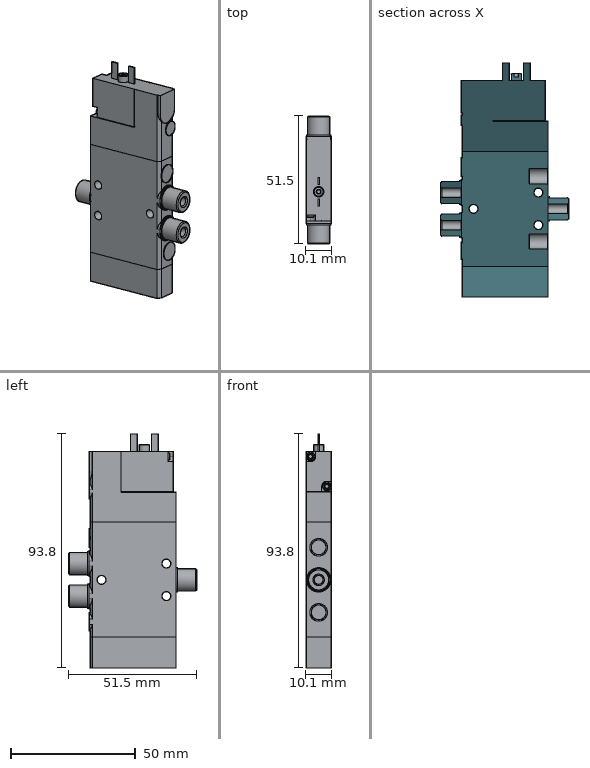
import cadquery as cq

WIDTH = 10.1
BACK_Y = 34.5
CAP_TOP = 12.4
BODY_TOP = 58.4
LEDGE_TOP = 70.5
STACK_TOP = 86.9
BACK_BEVEL_DEPTH = 0.9
BACK_BEVEL_WIDTH = 1.5

BOSS_Y = 34.9
BOSS_ROOT_Y = 31.9
PAD_RADIUS = 4.8
PAD_CENTER_Z = 78.6
PILOT_BOSS_RADIUS = 3.0
PILOT_BOSS_X = -2.2
PILOT_BOSS_Z = 70.8
PORT_BOSS_RADIUS = 5.2
OUTER_BOSS_RADIUS = 3.75
OUTER_BOSS_PITCH = 16.8
LOWER_BOSS_X = -1.5

MIDDLE_Z = 35.4
PORT_PITCH = 13.0
PORT_DIAMETER = 5.9
PORT_RIM_DIAMETER = 7.0
PORT_RIM_DEPTH = 0.3
PORT_DEPTH = 7.5
MOUNT_DIAMETER = 3.5
FRONT_MOUNT_Y = 3.9
BACK_MOUNT_Y = 29.9

COLLAR_DIAMETER = 9.8
COLLAR_HEIGHT = 0.6
FITTING_DIAMETER = 9.0
FITTING_LENGTH = 8.3
FITTING_CHAMFER = 0.5
BORE_DIAMETER = 3.6
BORE_RIM_DIAMETER = 4.6
BORE_RIM_DEPTH = (BORE_RIM_DIAMETER - BORE_DIAMETER) / 2

SOLENOID_FRONT_Y = 1.1
SOLENOID_BACK_Y = 22.0
SOLENOID_GAP = 0.2
SOLENOID_SIDE_STEP = 0.1
CONTACT_Y = 12.8
BLADE_PITCH = 8.4
BLADE_WIDTH = 2.8
BLADE_THICKNESS = 0.6
BLADE_TOP = 93.8
POST_DIAMETER = 4.1
POST_HEIGHT = 2.8
POST_CHAMFER = 0.3
POST_SOCKET_DEPTH = 1.4

POCKET_RADIUS = 2.1
POCKET_DEPTH = 2.25
SCREW_X = 3.3
SCREW_EDGE_DISTANCE = 2.1
HEAD_DIAMETER = 3.5
HEAD_HEIGHT = 0.8
HEAD_TOP_DIAMETER = 2.4
HEAD_SOCKET_DEPTH = 0.7

SOCKET_DIAMETER = 1.6
SOCKET_RIM_DIAMETER = 2.0
SOCKET_RIM_DEPTH = (SOCKET_RIM_DIAMETER - SOCKET_DIAMETER) / 2

SOLENOID_BOTTOM = LEDGE_TOP + SOLENOID_GAP
POCKET_FLOOR_Y = SOLENOID_FRONT_Y + POCKET_DEPTH
SCREW_PLACES = [
    (-SCREW_X, STACK_TOP - SCREW_EDGE_DISTANCE, -1, 1),
    (SCREW_X, SOLENOID_BOTTOM + SCREW_EDGE_DISTANCE, 1, -1),
]


def box(x_range, y_range, z_range):
    """Box between the given limits on each axis."""
    size = [high - low for low, high in (x_range, y_range, z_range)]
    corner = (x_range[0], y_range[0], z_range[0])
    return cq.Workplane("XY").box(*size, centered=False).translate(corner)


def rod(x, z, radius, y_start, y_end):
    """Cylinder along Y between two Y positions."""
    solid = cq.Solid.makeCylinder(radius, y_end - y_start, cq.Vector(x, y_start, z), cq.Vector(0, 1, 0))
    return cq.Workplane(obj=solid)


def cone(start, direction, start_radius, end_radius, length):
    """Cone frustum from a start point along a direction."""
    solid = cq.Solid.makeCone(start_radius, end_radius, length, cq.Vector(*start), cq.Vector(*direction))
    return cq.Workplane(obj=solid)


def countersunk_hole(top_z, depth, diameter, rim_diameter, rim_depth):
    """Hole tool along Z, sunk from a height, with a conical mouth."""
    hole = cq.Workplane("XY").circle(diameter / 2).extrude(-depth)
    mouth = cone((0, 0, 0), (0, 0, -1), rim_diameter / 2, diameter / 2, rim_depth)
    return hole.union(mouth).translate((0, 0, top_z))


def block(z_bottom, z_top):
    """Full-depth block of the stack, with both long back edges bevelled."""
    half = WIDTH / 2
    bevel_y = BACK_Y - BACK_BEVEL_DEPTH
    flat_half = half - BACK_BEVEL_WIDTH
    right_side = [(half, 0), (half, bevel_y), (flat_half, BACK_Y)]
    left_side = [(-x, y) for x, y in reversed(right_side)]
    outline = right_side + left_side
    return cq.Workplane("XY").workplane(offset=z_bottom).polyline(outline).close().extrude(z_top - z_bottom)


def back_boss(x, z, radius):
    """Round boss on the back face, cut flush with the sides of the stack."""
    sides = box((-WIDTH / 2, WIDTH / 2), (0, BOSS_Y), (0, STACK_TOP))
    return rod(x, z, radius, BOSS_ROOT_Y, BOSS_Y).intersect(sides)


def face_forward(upright):
    """Turn a shape that points along +Z so that it points along -Y."""
    return upright.rotate((0, 0, 0), (1, 0, 0), 90)


def make_end_cap():
    return block(0, CAP_TOP)


def make_valve_body():
    body = block(CAP_TOP, BODY_TOP)
    for z in (MIDDLE_Z - PORT_PITCH / 2, MIDDLE_Z + PORT_PITCH / 2):
        body = body.union(back_boss(0, z, PORT_BOSS_RADIUS))
    body = body.union(back_boss(0, MIDDLE_Z + OUTER_BOSS_PITCH, OUTER_BOSS_RADIUS))
    body = body.union(back_boss(LOWER_BOSS_X, MIDDLE_Z - OUTER_BOSS_PITCH, OUTER_BOSS_RADIUS))

    port = face_forward(countersunk_hole(0, PORT_DEPTH, PORT_DIAMETER, PORT_RIM_DIAMETER, PORT_RIM_DEPTH))
    for z in (MIDDLE_Z - PORT_PITCH, MIDDLE_Z + PORT_PITCH):
        body = body.cut(port.translate((0, 0, z)))

    mounts = [
        (FRONT_MOUNT_Y, MIDDLE_Z - PORT_PITCH / 2),
        (FRONT_MOUNT_Y, MIDDLE_Z + PORT_PITCH / 2),
        (BACK_MOUNT_Y, MIDDLE_Z),
    ]
    holes = cq.Workplane("YZ").pushPoints(mounts).circle(MOUNT_DIAMETER / 2).extrude(WIDTH / 2, both=True)
    return body.cut(holes)


def corner_pocket(x, z, x_side, z_side):
    """Round screw pocket, opened out to the nearest side and end of the solenoid."""
    depth = (SOLENOID_FRONT_Y, POCKET_FLOOR_Y)
    pocket = rod(x, z, POCKET_RADIUS, *depth)
    across = sorted((x - x_side * POCKET_RADIUS, x + x_side * POCKET_RADIUS))
    upright = sorted((z - z_side * POCKET_RADIUS, z + z_side * POCKET_RADIUS))
    beyond_side = sorted((x, x + x_side * WIDTH))
    beyond_end = (z, STACK_TOP) if z_side > 0 else (LEDGE_TOP, z)
    return pocket.union(box(across, depth, beyond_end)).union(box(beyond_side, depth, upright))


def contact_blade(y):
    """Flat contact blade standing on the solenoid."""
    x_range = (-BLADE_THICKNESS / 2, BLADE_THICKNESS / 2)
    return box(x_range, (y - BLADE_WIDTH / 2, y + BLADE_WIDTH / 2), (STACK_TOP, BLADE_TOP))


def make_pilot_body():
    body = block(BODY_TOP, STACK_TOP)

    half = WIDTH / 2
    body = body.cut(box((-half, half), (0, SOLENOID_FRONT_Y), (LEDGE_TOP, STACK_TOP)))
    body = body.cut(box((-half, half), (0, SOLENOID_BACK_Y), (LEDGE_TOP, SOLENOID_BOTTOM)))

    skim = box((0, SOLENOID_SIDE_STEP), (0, SOLENOID_BACK_Y), (LEDGE_TOP, STACK_TOP))
    for x in (-half, half - SOLENOID_SIDE_STEP):
        body = body.cut(skim.translate((x, 0, 0)))

    for place in SCREW_PLACES:
        body = body.cut(corner_pocket(*place))
    for y in (CONTACT_Y - BLADE_PITCH / 2, CONTACT_Y + BLADE_PITCH / 2):
        body = body.union(contact_blade(y))

    pad_sides = (-PAD_RADIUS, PAD_RADIUS)
    body = body.union(box(pad_sides, (BOSS_ROOT_Y, BOSS_Y), (PAD_CENTER_Z, STACK_TOP)))
    body = body.union(back_boss(0, PAD_CENTER_Z, PAD_RADIUS))
    return body.union(back_boss(PILOT_BOSS_X, PILOT_BOSS_Z, PILOT_BOSS_RADIUS))


def socket_hole(top_z, depth):
    """Round drive socket shared by the post and the screws."""
    return countersunk_hole(top_z, depth, SOCKET_DIAMETER, SOCKET_RIM_DIAMETER, SOCKET_RIM_DEPTH)


def make_post():
    """Round post between the contact blades, with a countersunk socket in its top."""
    post = cq.Workplane("XY").circle(POST_DIAMETER / 2).extrude(POST_HEIGHT)
    post = post.faces(">Z").chamfer(POST_CHAMFER)
    socket = socket_hole(POST_HEIGHT, POST_SOCKET_DEPTH)
    return post.cut(socket).translate((0, CONTACT_Y, STACK_TOP))


def make_screw(x, z):
    """Tapered screw head seated on the pocket floor, with a countersunk socket facing -Y."""
    head = cone((0, 0, 0), (0, 0, 1), HEAD_DIAMETER / 2, HEAD_TOP_DIAMETER / 2, HEAD_HEIGHT)
    socket = socket_hole(HEAD_HEIGHT, HEAD_SOCKET_DEPTH)
    return face_forward(head.cut(socket)).translate((x, POCKET_FLOOR_Y, z))


def make_fitting():
    """Tube fitting that stands on its collar and points along +Z, bored through."""
    collar = cq.Workplane("XY").circle(COLLAR_DIAMETER / 2).extrude(COLLAR_HEIGHT)
    tube = cq.Workplane("XY").circle(FITTING_DIAMETER / 2).extrude(FITTING_LENGTH)
    tube = tube.faces(">Z").chamfer(FITTING_CHAMFER)
    bore = countersunk_hole(FITTING_LENGTH, FITTING_LENGTH, BORE_DIAMETER, BORE_RIM_DIAMETER, BORE_RIM_DEPTH)
    return collar.union(tube).cut(bore)


def make_front_fitting():
    return face_forward(make_fitting()).translate((0, 0, MIDDLE_Z))


def make_back_fitting(z):
    return make_fitting().rotate((0, 0, 0), (1, 0, 0), -90).translate((0, BOSS_Y, z))


end_cap = make_end_cap()
valve_body = make_valve_body()
pilot_body = make_pilot_body()
post = make_post()
screws = [make_screw(x, z) for x, z, _, _ in SCREW_PLACES]
fittings = [
    make_front_fitting(),
    make_back_fitting(MIDDLE_Z - PORT_PITCH / 2),
    make_back_fitting(MIDDLE_Z + PORT_PITCH / 2),
]

result = cq.Compound.makeCompound(
    [
        end_cap.val(),
        valve_body.val(),
        pilot_body.val(),
        post.val(),
        *[screw.val() for screw in screws],
        *[fitting.val() for fitting in fittings],
    ]
)